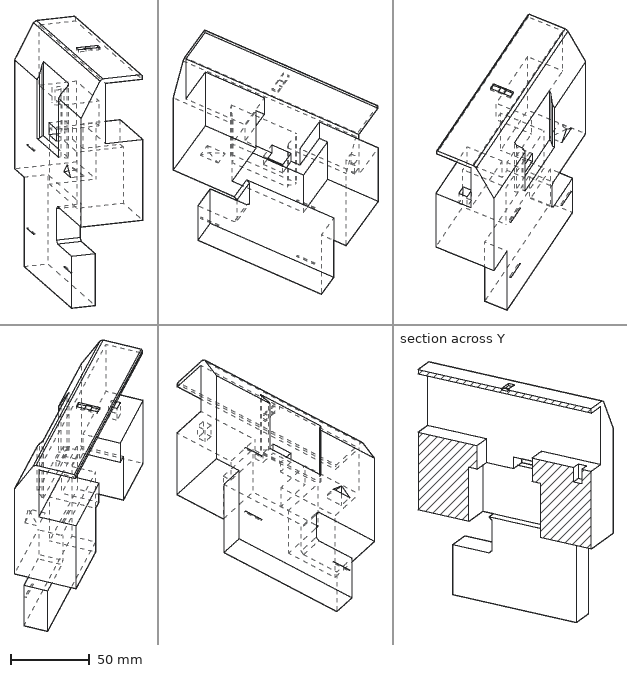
import cadquery as cq

WIDTH = 126.0
DEPTH = 41.64
HEIGHT = 157.25

PLATE_DEPTH = 16.5
FLANGE_DEPTH = 41.2
FLANGE_THICKNESS = 3.3
FLANGE_END_CHAMFER = 0.8
SLOPE_BOTTOM_Z = 132.5
SLOPE_TOP_Y = 12.7
SLOPE_TOP_Z = 156.0
CROWN_Y = 14.7

BLOCK_BOTTOM_Z = 59.75
BLOCK_TOP_Z = 113.75
CHANNEL_WIDTH = 40.0
LOWER_CHANNEL_WIDTH = 52.0
LOWER_CHANNEL_FRONT_Y = 10.5

LEG_WIDTH = 90.0
LEG_DEPTH = 16.0
NOTCH_X = 16.5
NOTCH_BOTTOM_Z = 34.75
NOTCH_CHAMFER = 2.0

RECESS_BOTTOM_Z = 93.25
RECESS_DEPTH = 5.6
RECESS_MOUTH_WIDTH = 40.5
RECESS_FLOOR_WIDTH = 47.5
RECESS_LIP_Y = 1.5
RECESS_FLARE_Y = 4.5

WINDOW_WIDTH = 14.0
WINDOW_HEIGHT = 8.0
WINDOW_X = -6.6
WINDOW_SILL_Z = 97.25

MARK_WIDTH = 13.0
LEFT_MARK_X = -33.3
RIGHT_MARK_X = 36.7
ARROW_BASE_Z = 86.75
ARROW_HEIGHT = 6.5
ARROW_DEPTH = 9.0
SLIT_HEIGHT = 0.1
SLIT_DEPTH = 1.0
SLIT_PLACES = [
    (LEFT_MARK_X, 83.0),
    (LEFT_MARK_X, 27.25),
    (RIGHT_MARK_X, 23.25),
]

SLOT_WIDTH = 4.2
SLOT_LENGTH = 14.4
SLOT_Y = 27.1
SLOT_DEPTH = 1.5
SLOT_BAR_LENGTH = 4.0
SLOT_BAR_DEPTH = 1.0

POCKET_LEFT_X = -56.2
POCKET_BACK_Y = 28.7
POCKET_SIZE = 6.0
POCKET_DEPTH = 10.0


def box(x_center, y_front, z_bottom, x_size, y_size, z_size):
    """Box centred in X, starting at y_front and z_bottom."""
    return (
        cq.Workplane("XY")
        .box(x_size, y_size, z_size, centered=(True, False, False))
        .translate((x_center, y_front, z_bottom))
    )


def extrude_side_profile(points, x_center, width):
    """Extrude a (Y, Z) outline along X, centred on x_center."""
    return (
        cq.Workplane("YZ")
        .polyline(points)
        .close()
        .extrude(width / 2, both=True)
        .translate((x_center, 0, 0))
    )


def make_head():
    flange_bottom_z = HEIGHT - FLANGE_THICKNESS
    profile = [
        (0, BLOCK_BOTTOM_Z),
        (0, SLOPE_BOTTOM_Z),
        (SLOPE_TOP_Y, SLOPE_TOP_Z),
        (CROWN_Y, HEIGHT),
        (FLANGE_DEPTH - FLANGE_END_CHAMFER, HEIGHT),
        (FLANGE_DEPTH, HEIGHT - FLANGE_END_CHAMFER),
        (FLANGE_DEPTH, flange_bottom_z),
        (PLATE_DEPTH, flange_bottom_z),
        (PLATE_DEPTH, BLOCK_TOP_Z),
        (DEPTH, BLOCK_TOP_Z),
        (DEPTH, BLOCK_BOTTOM_Z),
    ]
    return extrude_side_profile(profile, 0, WIDTH)


def make_leg():
    right_x = LEG_WIDTH / 2
    chamfer_x = NOTCH_X + NOTCH_CHAMFER
    outline = [
        (-right_x, 0),
        (right_x, 0),
        (right_x, NOTCH_BOTTOM_Z),
        (chamfer_x, NOTCH_BOTTOM_Z),
        (NOTCH_X, NOTCH_BOTTOM_Z + NOTCH_CHAMFER),
        (NOTCH_X, BLOCK_BOTTOM_Z - NOTCH_CHAMFER),
        (chamfer_x, BLOCK_BOTTOM_Z),
        (-right_x, BLOCK_BOTTOM_Z),
    ]
    return cq.Workplane("XZ").polyline(outline).close().extrude(-LEG_DEPTH)


def make_channel():
    """Channel open to the back, over the full height of the block."""
    full_height = box(
        0, PLATE_DEPTH, BLOCK_BOTTOM_Z,
        CHANNEL_WIDTH, DEPTH - PLATE_DEPTH, BLOCK_TOP_Z - BLOCK_BOTTOM_Z,
    )
    lower_part = box(
        0, LOWER_CHANNEL_FRONT_Y, BLOCK_BOTTOM_Z,
        LOWER_CHANNEL_WIDTH, DEPTH - LOWER_CHANNEL_FRONT_Y, WINDOW_SILL_Z - BLOCK_BOTTOM_Z,
    )
    return full_height.union(lower_part)


def make_recess():
    mouth = RECESS_MOUTH_WIDTH / 2
    floor = RECESS_FLOOR_WIDTH / 2
    half_section = [
        (mouth, 0),
        (mouth, RECESS_LIP_Y),
        (floor, RECESS_FLARE_Y),
        (floor, RECESS_DEPTH),
    ]
    mirrored = [(-x, y) for x, y in reversed(half_section)]
    return (
        cq.Workplane("XY", origin=(0, 0, RECESS_BOTTOM_Z))
        .polyline(half_section + mirrored)
        .close()
        .extrude(HEIGHT - RECESS_BOTTOM_Z)
    )


def make_window():
    return box(
        WINDOW_X, 0, WINDOW_SILL_Z,
        WINDOW_WIDTH, PLATE_DEPTH, WINDOW_HEIGHT,
    )


def make_arrow():
    """Triangular pocket whose roof slopes down from its tip to its base edge."""
    triangle = (
        cq.Workplane("XZ", origin=(RIGHT_MARK_X, 0, ARROW_BASE_Z))
        .polyline([(-MARK_WIDTH / 2, 0), (MARK_WIDTH / 2, 0), (0, ARROW_HEIGHT)])
        .close()
        .extrude(-ARROW_DEPTH)
    )
    wedge = extrude_side_profile(
        [
            (0, ARROW_BASE_Z),
            (ARROW_DEPTH, ARROW_BASE_Z),
            (0, ARROW_BASE_Z + ARROW_HEIGHT),
        ],
        RIGHT_MARK_X,
        MARK_WIDTH,
    )
    return triangle.intersect(wedge)


def make_slit(x, z):
    """Fine horizontal slit in the front face."""
    return box(x, 0, z - SLIT_HEIGHT / 2, MARK_WIDTH, SLIT_DEPTH, SLIT_HEIGHT)


def make_slot():
    """Shallow slot that leaves a sunken bar across its middle."""
    slot = box(
        0, SLOT_Y - SLOT_LENGTH / 2, HEIGHT - SLOT_DEPTH,
        SLOT_WIDTH, SLOT_LENGTH, SLOT_DEPTH,
    )
    bar = box(
        0, SLOT_Y - SLOT_BAR_LENGTH / 2, HEIGHT - SLOT_DEPTH,
        SLOT_WIDTH, SLOT_BAR_LENGTH, SLOT_DEPTH - SLOT_BAR_DEPTH,
    )
    return slot.cut(bar)


def make_pocket():
    return box(
        POCKET_LEFT_X + POCKET_SIZE / 2, POCKET_BACK_Y - POCKET_SIZE, BLOCK_TOP_Z - POCKET_DEPTH,
        POCKET_SIZE, POCKET_SIZE, POCKET_DEPTH,
    )


result = make_head().union(make_leg())
result = result.cut(make_channel()).cut(make_recess()).cut(make_window())
result = result.cut(make_arrow()).cut(make_slot()).cut(make_pocket())
for slit_x, slit_z in SLIT_PLACES:
    result = result.cut(make_slit(slit_x, slit_z))